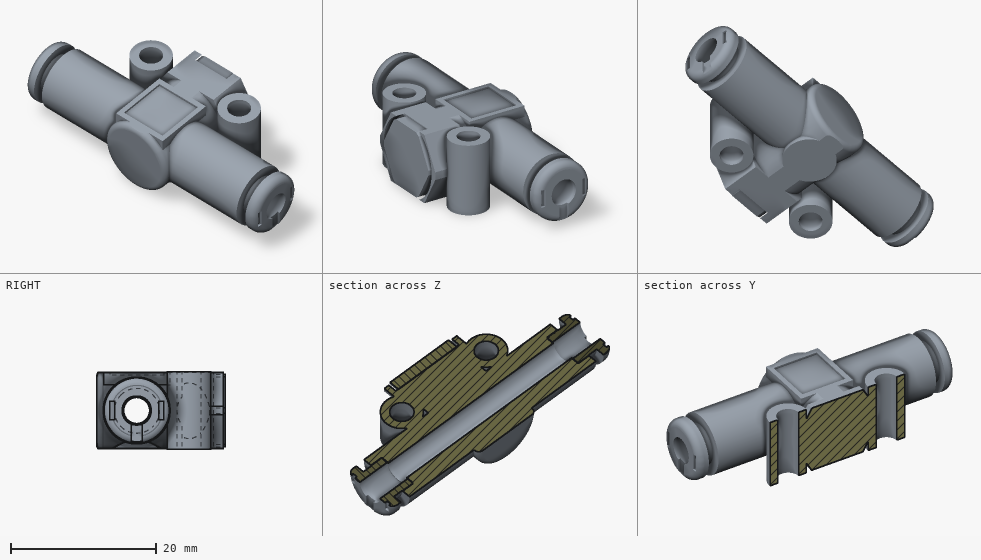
import cadquery as cq
import math


tube_dia = 9.2
tube_half_length = 17.7
tube_bore_dia = 3.6
button_end_x = 20.9
flange_dia = 9.0
flange_width = 1.7
flange_fillet = 1.0
neck_dia = 6.2
neck_insertion = 2.0
button_bore_dia = 4.0
face_mark_depth = 0.4
key_mark_width = 1.5
side_mark_height = 2.6
side_mark_inner_y = 3.05
side_mark_width = 0.65

body_half_height = 5.25
barrel_dia = 11.0
barrel_face_y = -5.5
barrel_fillet = 0.8
label_width = 8.45
label_length = 9.1
label_recess_width = 7.0
label_recess_length = 7.45
label_recess_depth = 0.35
underside_boss_dia = 7.5

hex_front_y = 6.2
hex_rear_y = 11.95
hex_across_flats = 12.5
hex_corner_dia = 13.8

eye_dia = 6.0
eye_hole_dia = 3.3
eye_height = 10.7
eye_x = 8.0
eye_y = 7.2

cap_recess_dia = 11.95
cap_recess_depth = 1.4
cap_across_flats = 10.0
cap_corner_dia = 11.15
cap_protrusion = 0.25


def box(x_range, y_range, z_range):
    """Box spanning the given (low, high) ranges."""
    low, high = zip(x_range, y_range, z_range)
    size = [end - start for start, end in zip(low, high)]
    return cq.Workplane("XY").box(*size, centered=False).translate(low)


def cylinder_along_x(diameter, start, end):
    return cq.Workplane("YZ", origin=(start, 0, 0)).circle(diameter / 2).extrude(end - start)


def cylinder_along_y(diameter, start, end):
    return cq.Workplane("XZ", origin=(0, start, 0)).circle(diameter / 2).extrude(start - end)


def rounded_hexagon(across_flats, corner_dia, start, end):
    """Hexagonal prism along Y, flats facing up and down, with its corners turned to a diameter."""
    across_corners = across_flats / math.cos(math.pi / 6)
    hexagon = cq.Workplane("XZ", origin=(0, start, 0)).polygon(6, across_corners).extrude(start - end)
    return hexagon.intersect(cylinder_along_y(corner_dia, start, end))


def height_limit():
    """Slab that trims the central body to flat top and bottom faces."""
    reach = tube_half_length
    return box((-reach, reach), (-reach, reach), (-body_half_height, body_half_height))


def make_central_body():
    barrel = cylinder_along_y(barrel_dia, barrel_face_y, hex_front_y).faces("<Y").edges().fillet(barrel_fillet)
    rear = rounded_hexagon(hex_across_flats, hex_corner_dia, hex_front_y, hex_rear_y)
    boss = cq.Workplane("XY").circle(underside_boss_dia / 2).extrude(-body_half_height)
    label_block = box(
        (-label_width / 2, label_width / 2),
        (-label_length / 2, label_length / 2),
        (0, body_half_height),
    )
    return barrel.union(rear).intersect(height_limit()).union(boss).union(label_block)


def make_label_recess():
    return box(
        (-label_recess_width / 2, label_recess_width / 2),
        (-label_recess_length / 2, label_recess_length / 2),
        (body_half_height - label_recess_depth, body_half_height),
    )


def make_housing():
    tube = cylinder_along_x(tube_dia, -tube_half_length, tube_half_length)
    housing = tube.union(make_central_body())
    eye_places = [(-eye_x, eye_y), (eye_x, eye_y)]
    eye_base = cq.Workplane("XY", origin=(0, 0, -eye_height / 2)).pushPoints(eye_places)
    housing = housing.union(eye_base.circle(eye_dia / 2).extrude(eye_height))
    housing = housing.cut(eye_base.circle(eye_hole_dia / 2).extrude(eye_height))
    housing = housing.cut(make_label_recess())
    housing = housing.cut(cylinder_along_y(cap_recess_dia, hex_rear_y - cap_recess_depth, hex_rear_y))
    housing = housing.cut(cylinder_along_x(tube_bore_dia, -tube_half_length, tube_half_length))
    socket_floor = tube_half_length - neck_insertion
    for side in (-1, 1):
        housing = housing.cut(cylinder_along_x(neck_dia, side * socket_floor, side * tube_half_length))
    return housing


def make_button():
    """Release button of the -X port."""
    flange_inner_x = -button_end_x + flange_width
    flange = cylinder_along_x(flange_dia, -button_end_x, flange_inner_x)
    flange = flange.faces("<X").edges().fillet(flange_fillet)
    neck_end_x = -tube_half_length + neck_insertion
    button = flange.union(cylinder_along_x(neck_dia, flange_inner_x, neck_end_x))
    button = button.cut(cylinder_along_x(button_bore_dia, -button_end_x, neck_end_x))

    mark_depth_range = (-button_end_x, -button_end_x + face_mark_depth)
    key_mark = box(mark_depth_range, (-key_mark_width / 2, key_mark_width / 2), (-flange_dia / 2, 0))
    side_mark = box(
        mark_depth_range,
        (side_mark_inner_y, side_mark_inner_y + side_mark_width),
        (-side_mark_height / 2, side_mark_height / 2),
    )
    return button.cut(key_mark).cut(side_mark).cut(side_mark.mirror("XZ"))


def make_cap():
    return rounded_hexagon(
        cap_across_flats,
        cap_corner_dia,
        hex_rear_y - cap_recess_depth,
        hex_rear_y + cap_protrusion,
    )


housing = make_housing()
buttons = [make_button().rotate((0, 0, 0), (0, 0, 1), angle) for angle in (0, 180)]
cap = make_cap()

result = cq.Compound.makeCompound([housing.val(), *[button.val() for button in buttons], cap.val()])